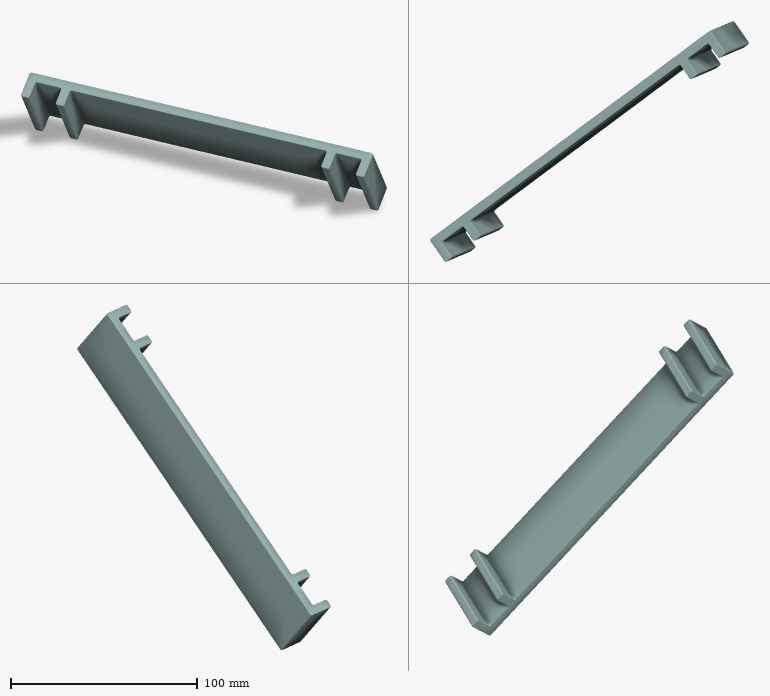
import cadquery as cq

bar_length = 200.5
profile_depth = 15.0
bar_width = 39.0
tilt = 30.0

plate_thickness = 5.0
rib_width = 5.0
rib_pitch = 20.3
edge_radius = 1.0
end_radius = 0.5

rib_depth = profile_depth - plate_thickness
outer_rib_x = (bar_length - rib_width) / 2
inner_rib_x = outer_rib_x - rib_pitch


def rib(x_center):
    """Rib across the full bar width, reaching through to the back of the plate."""
    block = cq.Workplane("XY").box(rib_width, profile_depth, bar_width, centered=(True, False, True))
    return block.translate((x_center, -rib_depth, 0))


body = cq.Workplane("XY").box(
    bar_length, plate_thickness, bar_width, centered=(True, False, True)
)
for rib_x in (-outer_rib_x, -inner_rib_x, inner_rib_x, outer_rib_x):
    body = body.union(rib(rib_x))

body = body.clean().edges("|Z").fillet(edge_radius)

body = body.faces("<Z or >Z").edges().fillet(end_radius)

result = body.rotate((0, 0, 0), (1, 0, 0), tilt)